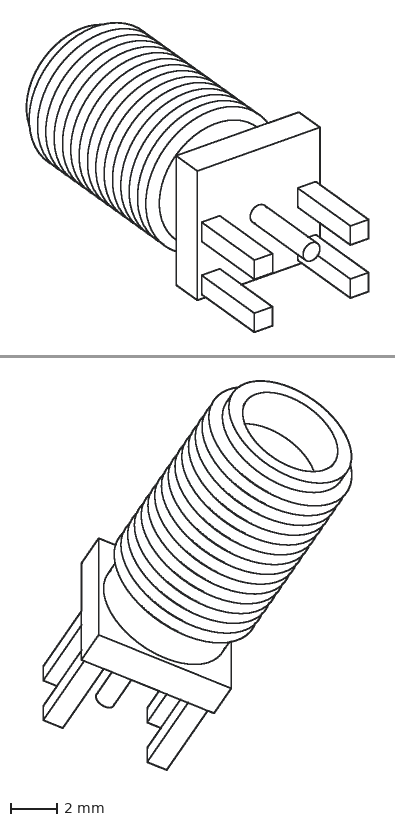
import cadquery as cq

total_length = 17.14
flange_start = 11.59
flange_thickness = 1.6
flange_end = flange_start + flange_thickness
flange_width = 6.48

barrel_diameter = 6.0
bore_diameter = 4.65
bore_depth = 2.0
thread_diameter = 7.0
thread_start = 0.6
thread_pitch = 0.625
ridge_count = 15

pin_diameter = 0.89
leg_size = 0.96
leg_center_y = 2.54
upper_leg_center_z = 0.12
lower_leg_center_z = -2.54


def make_barrel():
    """Revolve the V-ridged outline of the barrel about X."""
    root_radius = barrel_diameter / 2
    crest_radius = thread_diameter / 2
    outline = cq.Workplane("XY").lineTo(0, root_radius).lineTo(thread_start, root_radius)
    for ridge in range(ridge_count):
        ridge_start = thread_start + ridge * thread_pitch
        outline = outline.lineTo(ridge_start + thread_pitch / 2, crest_radius)
        outline = outline.lineTo(ridge_start + thread_pitch, root_radius)
    outline = outline.lineTo(flange_start, root_radius).lineTo(flange_start, 0).close()
    return outline.revolve(360, (0, 0, 0), (1, 0, 0))


def make_flange():
    """Square plate behind the barrel."""
    plane = cq.Workplane("YZ", origin=(flange_start, 0, 0))
    return plane.rect(flange_width, flange_width).extrude(flange_thickness)


def make_pins():
    """Round centre pin and four square legs behind the flange."""
    pin_length = total_length - flange_end
    back_face = cq.Workplane("YZ", origin=(flange_end, 0, 0))
    leg_centers = [
        (y, z)
        for y in (-leg_center_y, leg_center_y)
        for z in (lower_leg_center_z, upper_leg_center_z)
    ]
    legs = back_face.pushPoints(leg_centers).rect(leg_size, leg_size).extrude(pin_length)
    center_pin = back_face.circle(pin_diameter / 2).extrude(pin_length)
    return legs.add(center_pin)


body = make_barrel().union(make_flange())
for pin in make_pins().vals():
    body = body.union(cq.Workplane(pin))

bore = cq.Workplane("YZ").circle(bore_diameter / 2).extrude(bore_depth)
result = body.cut(bore)